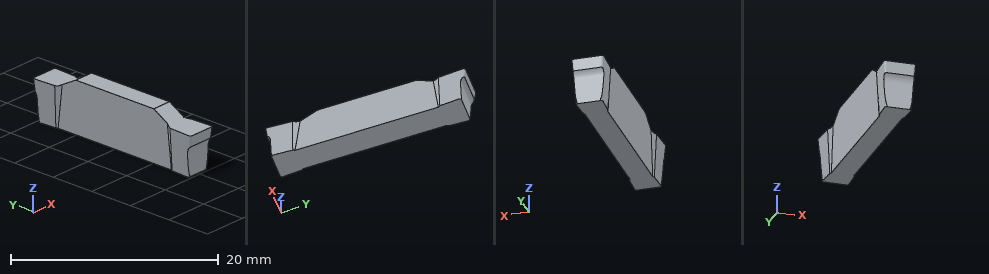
import cadquery as cq
import math

length = 20.53
height = 5.79
cutting_height = 4.6
body_width = 2.3

tip_half_width = 1.65
head_back_half_width = 1.5
head_length = 2.8
neck_length = 0.64
flank_drift = 0.06
side_draft = 0.25
corner_radius = 0.23

relief_height = 1.21
heel_setback = 0.51
heel_bottom_land = 0.12
scoop_bottom_depth = 2.07

ramp_foot_y = 7.15
ramp_top_y = 5.05
ramp_blend_radius = 0.29

relief_slope = heel_setback / (cutting_height - heel_bottom_land)
body_half_width = body_width / 2
tip_y = length / 2
head_back_y = tip_y - head_length
neck_slope = neck_length / (head_back_half_width - body_half_width)
head_taper = (tip_half_width - head_back_half_width) / head_length


def plan_outline(z):
    """Sharp-cornered plan of the insert at height z, ordered around the part."""
    depth = cutting_height - z
    lean = side_draft * depth / cutting_height
    end_y = tip_y - relief_slope * depth
    end_x = tip_half_width - lean - head_taper * (tip_y - end_y)
    back_y = head_back_y + flank_drift * depth / cutting_height
    back_x = tip_half_width - lean - head_taper * (tip_y - back_y)
    neck_y = back_y - (back_x - body_half_width) * neck_slope
    quadrant = [(body_half_width, neck_y), (back_x, back_y), (end_x, end_y)]
    right_side = [(x, -y) for x, y in reversed(quadrant)] + quadrant
    left_side = [(-x, y) for x, y in reversed(right_side)]
    return right_side + left_side


def tapered_blank():
    blank = (
        cq.Workplane("XY")
        .polyline(plan_outline(0))
        .close()
        .workplane(offset=height)
        .polyline(plan_outline(height))
        .close()
        .loft(ruled=True)
    )
    return blank.faces("<Y or >Y").edges("not #Z").fillet(corner_radius)


def scoop_middle(start, end):
    """Middle of an arc from start that becomes vertical at end."""
    rise = start[1] - end[1]
    run = start[0] - end[0]
    radius = (run**2 + rise**2) / (2 * run)
    half_angle = math.asin(rise / radius) / 2
    return (
        end[0] + radius * (1 - math.cos(half_angle)),
        end[1] + radius * math.sin(half_angle),
    )


def side_profile():
    """YZ outline with the ridge, rake faces, end scoops and heels."""
    heel_y = tip_y - heel_setback
    scoop_top = (tip_y - relief_slope * relief_height, cutting_height - relief_height)
    scoop_bottom = (heel_y, cutting_height - scoop_bottom_depth)
    scoop_mid = scoop_middle(scoop_top, scoop_bottom)

    ramp_angle = math.atan2(height - cutting_height, ramp_foot_y - ramp_top_y)
    blend_tangent = ramp_blend_radius * math.tan(ramp_angle / 2)
    blend_start = (ramp_foot_y + blend_tangent, cutting_height)
    blend_mid = (
        blend_start[0] - ramp_blend_radius * math.sin(ramp_angle / 2),
        cutting_height + ramp_blend_radius * (1 - math.cos(ramp_angle / 2)),
    )
    blend_end = (
        ramp_foot_y - blend_tangent * math.cos(ramp_angle),
        cutting_height + blend_tangent * math.sin(ramp_angle),
    )
    half = (
        cq.Workplane("YZ")
        .moveTo(0, 0)
        .lineTo(heel_y, 0)
        .lineTo(*scoop_bottom)
        .threePointArc(scoop_mid, scoop_top)
        .lineTo(tip_y, cutting_height)
        .lineTo(*blend_start)
        .threePointArc(blend_mid, blend_end)
        .lineTo(ramp_top_y, height)
        .lineTo(0, height)
        .close()
        .extrude(tip_half_width * 2, both=True)
    )
    return half.union(half.mirror("XZ"))


result = tapered_blank().intersect(side_profile()).clean()